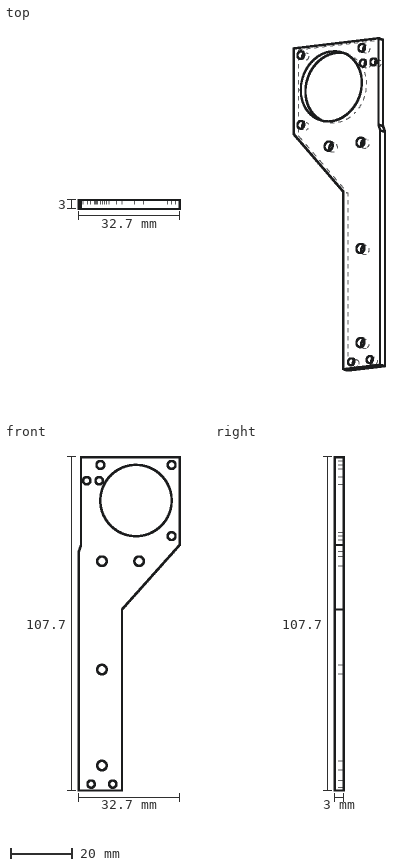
import cadquery as cq

thickness = 3.0
total_width = 32.69
total_height = 107.7

arm_width = 14.0
head_width = 32.0
head_left = total_width - head_width
step_bottom = 77.2
step_top = 79.2
gusset_bottom = 58.5
gusset_top = 79.4

opening_diameter = 23.0
opening_x = 18.5
opening_z = total_height - 14.0
mount_diameter = 2.5
mount_half_pitch = 11.5

small_diameter = 2.3
head_pair_left = 2.6
head_pair_pitch = 4.0
head_pair_z = 100.1

arm_hole_diameter = 3.0
arm_hole_x = 7.5
arm_hole_bottom_z = 8.1
arm_hole_middle_z = arm_hole_bottom_z + 31.0
arm_hole_top_z = arm_hole_middle_z + 35.0
side_hole_offset = 12.0

foot_pair_half_pitch = 3.5
foot_pair_z = 2.1


def make_plate():
    """Stepped head on a narrow arm, joined on the right by a sloping edge."""
    outline = [
        (0, 0),
        (arm_width, 0),
        (arm_width, gusset_bottom),
        (total_width, gusset_top),
        (total_width, total_height),
        (head_left, total_height),
        (head_left, step_top),
        (0, step_bottom),
    ]
    return cq.Workplane("XZ").polyline(outline).close().extrude(-thickness)


def drill(plate, diameter, centres):
    """Cut through holes of one diameter at the given (x, z) centres."""
    holes = cq.Workplane("XZ").pushPoints(centres).circle(diameter / 2).extrude(-thickness)
    return plate.cut(holes)


mount_centres = [
    (opening_x + x_side * mount_half_pitch, opening_z + z_side * mount_half_pitch)
    for x_side, z_side in [(-1, 1), (1, 1), (1, -1)]
]
small_centres = [
    (head_pair_left, head_pair_z),
    (head_pair_left + head_pair_pitch, head_pair_z),
    (arm_hole_x - foot_pair_half_pitch, foot_pair_z),
    (arm_hole_x + foot_pair_half_pitch, foot_pair_z),
]
arm_centres = [
    (arm_hole_x, arm_hole_bottom_z),
    (arm_hole_x, arm_hole_middle_z),
    (arm_hole_x, arm_hole_top_z),
    (arm_hole_x + side_hole_offset, arm_hole_top_z),
]

result = make_plate()
result = drill(result, opening_diameter, [(opening_x, opening_z)])
result = drill(result, mount_diameter, mount_centres)
result = drill(result, small_diameter, small_centres)
result = drill(result, arm_hole_diameter, arm_centres)